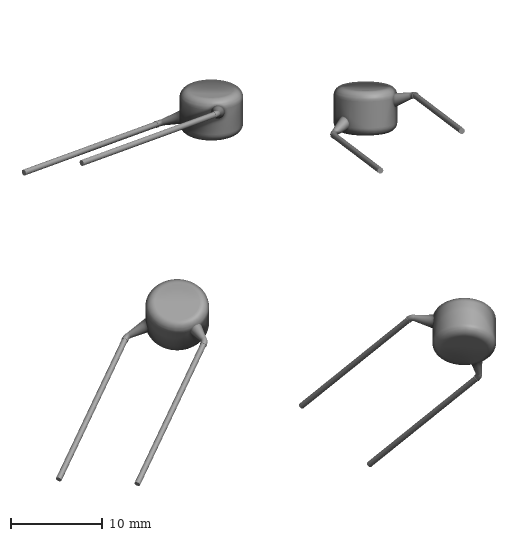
import cadquery as cq
import math

overall_length = 27.45
housing_diameter = 7.0
housing_height = 5.0
housing_fillet = 1.0

overall_width = 10.02
lead_radius = 0.33
lead_height = 1.98
lead_end_y = housing_diameter / 2 - overall_length

collar_radius = 0.38
collar_length = 0.15
collar_start_y = -3.87
bend_tube_radius = 0.35
bend_corner_y = -3.49
cone_root_radius = 0.88
cone_reach = 3.3
sleeve_azimuth = 44.0
sleeve_elevation = 18.0

lead_x = overall_width / 2 - collar_radius
collar_end_y = collar_start_y - collar_length

side_angles = (0, 180)
wire_direction = cq.Vector(0, -1, 0)


def turn_to_side(solid, angle):
    return solid.rotate(cq.Vector(0, 0, 0), cq.Vector(0, 1, 0), angle)


def make_disc():
    disc = cq.Workplane("XY").cylinder(housing_height, housing_diameter / 2)
    return disc.faces("|Z").edges().fillet(housing_fillet)


def make_sleeve():
    """Cone, bend and collar of the left sleeve, fused into one solid."""
    corner = cq.Vector(-lead_x, bend_corner_y, -lead_height)
    azimuth = math.radians(sleeve_azimuth)
    elevation = math.radians(sleeve_elevation)
    inward = cq.Vector(
        math.cos(elevation) * math.cos(azimuth),
        math.cos(elevation) * math.sin(azimuth),
        math.sin(elevation),
    )

    tangent_length = bend_corner_y - collar_start_y
    bend_start = corner + inward * tangent_length
    bend_end = corner + wire_direction * tangent_length
    bend_path = cq.Edge.makeTangentArc(bend_start, inward * -1, bend_end)
    bend_profile = cq.Workplane(cq.Plane(bend_start, normal=inward * -1)).circle(bend_tube_radius)
    bend = bend_profile.sweep(cq.Workplane(bend_path)).val()

    cone = cq.Solid.makeCone(
        bend_tube_radius, cone_root_radius, cone_reach - tangent_length, bend_start, inward
    )
    collar = cq.Solid.makeCylinder(collar_radius, collar_length, bend_end, wire_direction)
    return cone.fuse(bend, collar)


def make_housing():
    housing = make_disc()
    sleeve = make_sleeve()
    for angle in side_angles:
        housing = housing.union(cq.Workplane(turn_to_side(sleeve, angle)))
    return housing


def make_lead(angle):
    """Wire that butts against the end face of its collar."""
    start = cq.Vector(-lead_x, collar_end_y, -lead_height)
    lead = cq.Solid.makeCylinder(lead_radius, collar_end_y - lead_end_y, start, wire_direction)
    return turn_to_side(lead, angle)


housing = make_housing()
leads = [make_lead(angle) for angle in side_angles]

result = cq.Compound.makeCompound([*housing.solids().vals(), *leads])